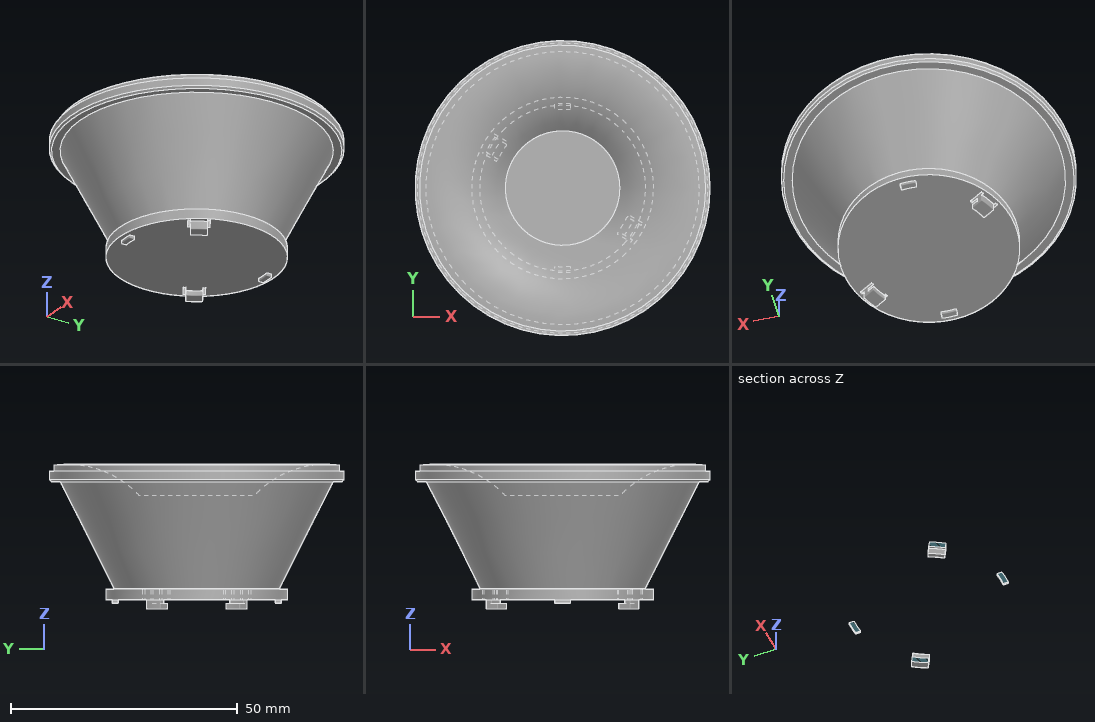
import cadquery as cq

flange_radius = 32.5
flange_chamfer = 0.5
rim_radius = 63.0 / 2
rim_height = 1.35
flange_height = 2.35

bowl_top_radius = 30.1
bowl_bottom_radius = 18.25
bowl_height = 23.65
foot_ring_height = 0.2

dish_floor_radius = 12.6
dish_depth = 6.75
dish_crest_radius = 28.8
dish_crest_rise = 0.2

disc_radius = 40.05 / 2
disc_thickness = 2.35

hook_direction = 149.0
hook_outer_radius = 18.65
hook_width = 3.8
hook_rounding = 0.2
hook_drop = 2.0
post_depth = 1.55
tongue_reach = 1.55
tongue_gap = 0.8

slot_width = 0.6
slot_outer_reach = 19.05

pad_outer_radius = 18.65
pad_depth = 1.3
pad_width = 3.5
pad_drop = 0.8
pad_rounding = 0.2

disc_bottom = hook_drop
disc_top = disc_bottom + disc_thickness
bowl_bottom = disc_top + foot_ring_height
flange_bottom = disc_top + bowl_height
flange_top = flange_bottom + flange_height
rim_top = flange_top + rim_height


def make_lens():
    """Solid of revolution with a dished front face."""
    profile = (
        cq.Workplane("XZ")
        .moveTo(0, disc_top)
        .lineTo(bowl_bottom_radius, disc_top)
        .lineTo(bowl_bottom_radius, bowl_bottom)
        .lineTo(bowl_top_radius, flange_bottom)
        .lineTo(flange_radius - flange_chamfer, flange_bottom)
        .lineTo(flange_radius, flange_bottom + flange_chamfer)
        .lineTo(flange_radius, flange_top)
        .lineTo(rim_radius, flange_top)
        .lineTo(rim_radius, rim_top)
        .threePointArc(
            (dish_crest_radius, rim_top + dish_crest_rise),
            (dish_floor_radius, rim_top - dish_depth),
        )
        .lineTo(0, rim_top - dish_depth)
        .close()
    )
    return profile.revolve(360, (0, 0, 0), (0, 1, 0))


def ring_piece(outer_radius, depth, width, bottom, top):
    """Piece of a ring around Z, centred on +X, with parallel sides."""
    height = top - bottom
    ring = cq.Workplane("XY", origin=(0, 0, bottom)).circle(outer_radius).circle(outer_radius - depth)
    strip = cq.Workplane("XY", origin=(outer_radius / 2, 0, bottom)).rect(outer_radius, width)
    return ring.extrude(height).intersect(strip.extrude(height))


def make_hook():
    """Post under the disc with a tongue that points inward, rounded at its upright and lowest edges."""
    post = ring_piece(hook_outer_radius, post_depth, hook_width, 0, disc_bottom)
    tongue_top = disc_bottom - tongue_gap
    tongue = ring_piece(hook_outer_radius, post_depth + tongue_reach, hook_width, 0, tongue_top)
    hook = post.union(tongue)
    return hook.edges("|Z").fillet(hook_rounding).faces("<Z").edges().fillet(hook_rounding)


def make_relief_slots():
    """Cutters for the slots on both sides of a hook."""
    slot_length = slot_outer_reach - (hook_outer_radius - post_depth - tongue_reach)
    slot_middle = slot_outer_reach - slot_length / 2
    slot_offset = (hook_width + slot_width) / 2
    return (
        cq.Workplane("XY", origin=(0, 0, disc_bottom))
        .pushPoints([(slot_middle, slot_offset), (slot_middle, -slot_offset)])
        .rect(slot_length, slot_width)
        .extrude(disc_thickness)
    )


def make_pad():
    """Low locating pad under the disc, rounded at its upright and lowest edges."""
    pad = ring_piece(pad_outer_radius, pad_depth, pad_width, disc_bottom - pad_drop, disc_bottom)
    return pad.edges("|Z").fillet(pad_rounding).faces("<Z").edges().fillet(pad_rounding)


def turned(shape, angle):
    """Shape turned about the Z axis."""
    return shape.rotate((0, 0, 0), (0, 0, 1), angle)


def make_holder():
    """Disc with hooks, relief slots and locating pads."""
    holder = cq.Workplane("XY", origin=(0, 0, disc_bottom)).circle(disc_radius).extrude(disc_thickness)
    for half_turn in (0, 180):
        holder = holder.union(turned(make_hook(), hook_direction + half_turn))
        holder = holder.cut(turned(make_relief_slots(), hook_direction + half_turn))
        holder = holder.union(turned(make_pad(), 90 + half_turn))
    return holder


lens = make_lens()
holder = make_holder()

result = cq.Compound.makeCompound([lens.val(), holder.val()])